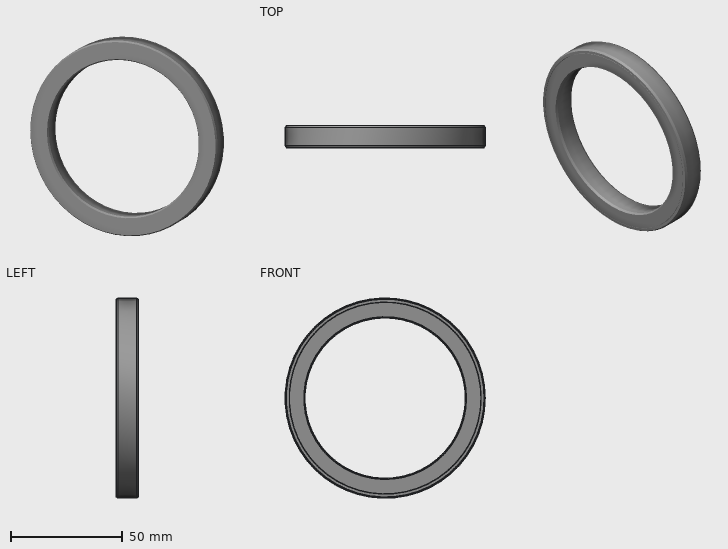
import cadquery as cq

outer_radius = 45.0
bore_radius = 36.0
width = 10.1

joint_radius = 43.0

gap_width = 0.14
gap_depth = width / 2
gap_outer_radius = joint_radius + gap_width

chamfer_axial = 1.0
chamfer_radial = 0.58

front_y = -width / 2
back_y = width / 2
gap_floor_y = front_y + gap_depth


def revolve_about_y(section):
    """Revolve a closed (radius, y) section a full turn about the Y axis."""
    return cq.Workplane("XY").polyline(section).close().revolve(360, (0, 0, 0), (0, 1, 0))


def chamfered_side(side_radius, rim_radius):
    """Section points from front to back along a cylinder with both rims chamfered."""
    return [
        (rim_radius, front_y),
        (side_radius, front_y + chamfer_axial),
        (side_radius, back_y - chamfer_axial),
        (rim_radius, back_y),
    ]


def make_outer_ring():
    """Outer ring, chamfered outside, its inside stepped back at the front to leave the gap."""
    outside = chamfered_side(outer_radius, outer_radius - chamfer_radial)
    stepped_inside = [
        (joint_radius, back_y),
        (joint_radius, gap_floor_y),
        (gap_outer_radius, gap_floor_y),
        (gap_outer_radius, front_y),
    ]
    return revolve_about_y(outside + stepped_inside)


def make_inner_ring():
    """Inner ring with a chamfered bore and a plain cylindrical outside."""
    bore = chamfered_side(bore_radius, bore_radius + chamfer_radial)
    outside = [(joint_radius, back_y), (joint_radius, front_y)]
    return revolve_about_y(bore + outside)


outer_ring = make_outer_ring()
inner_ring = make_inner_ring()

result = cq.Compound.makeCompound([outer_ring.val(), inner_ring.val()])